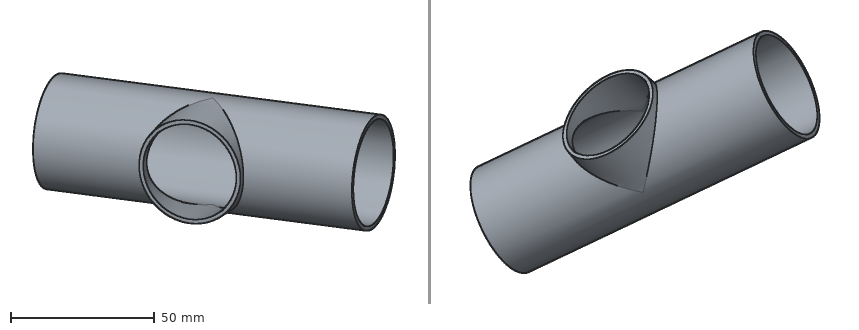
import cadquery as cq
import math

length = 120.0
pipe_radius = 20.5
wall = 1.5
bore_radius = pipe_radius - wall

branch_reach = 22.9
mouth_radius = 19.1


def pipe_cylinder(radius):
    return cq.Workplane("YZ").circle(radius).extrude(length / 2, both=True)


def branch_cone(sphere_radius, end_radius):
    """Cone from the branch mouth inward, tangent to a sphere shared with the pipe."""
    corner_distance = math.hypot(branch_reach, end_radius)
    corner_angle = math.atan2(branch_reach, end_radius)
    taper = corner_angle - math.acos(sphere_radius / corner_distance)
    contact_offset = sphere_radius * math.sin(taper)
    contact_radius = sphere_radius * math.cos(taper)
    profile = [
        (0, -contact_offset),
        (contact_radius, -contact_offset),
        (end_radius, -branch_reach),
        (0, -branch_reach),
    ]
    return cq.Workplane("XY").polyline(profile).close().revolve(360, (0, 0, 0), (0, 1, 0))


outer_body = pipe_cylinder(pipe_radius).union(branch_cone(pipe_radius, mouth_radius))

result = outer_body.cut(pipe_cylinder(bore_radius)).cut(branch_cone(bore_radius, mouth_radius - wall))